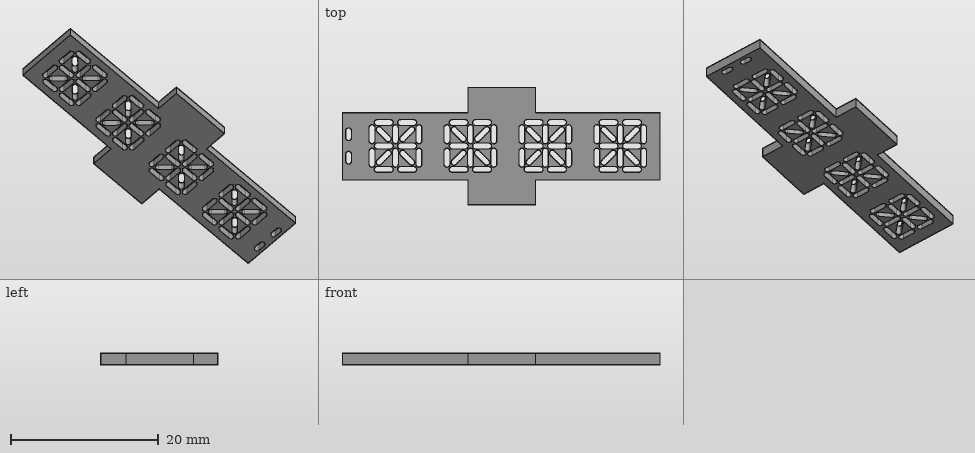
import cadquery as cq

length = 43.05
total_width = 15.93
thickness = 1.6
strip_width = 9.14
tab_length = 9.2
tab_start = 17.0
lower_tab_depth = 3.35

slot_width = 0.762
segment_length = 2.54
cell = 3.175
character_count = 4
character_pitch = 10.16
first_character_x = 7.18
diagonal_angle = 45

short_slot_length = 1.69
short_slot_offset = 2 * cell

left = -length / 2
front = -total_width / 2
strip_y = front + lower_tab_depth + strip_width / 2
row_shift = 0.05
character_y = strip_y + row_shift


def make_plate():
    """Long strip crossed by a wider central block."""
    block_x = left + tab_start + tab_length / 2
    strip = cq.Workplane("XY").box(length, strip_width, thickness).translate((0, strip_y, 0))
    block = cq.Workplane("XY").box(tab_length, total_width, thickness)
    return strip.union(block.translate((block_x, 0, 0)))


def cut_slots(body, centers, slot_length, angle):
    """Cut round-ended slots through the plate, all turned to the same angle."""
    slots = cq.Workplane("XY").pushPoints(centers).slot2D(slot_length, slot_width, angle)
    return body.cut(slots.extrude(thickness, both=True))


def cut_character(body, x, y):
    """Cut a 16-segment character: a two by two grid of cells with a diagonal in each."""
    half = cell / 2
    horizontal = [(x + i * half, y + j * cell) for i in (-1, 1) for j in (-1, 0, 1)]
    vertical = [(x + i * cell, y + j * half) for i in (-1, 0, 1) for j in (-1, 1)]
    rising = [(x - half, y - half), (x + half, y + half)]
    falling = [(x - half, y + half), (x + half, y - half)]
    body = cut_slots(body, horizontal, segment_length, 0)
    body = cut_slots(body, vertical, segment_length, 90)
    body = cut_slots(body, rising, segment_length, diagonal_angle)
    return cut_slots(body, falling, segment_length, -diagonal_angle)


def cut_short_slots(body):
    """Cut two short slots level with the two cell rows of the characters."""
    x = left + first_character_x - short_slot_offset
    centers = [(x, character_y + side * cell / 2) for side in (-1, 1)]
    return cut_slots(body, centers, short_slot_length, 90)


result = make_plate()
for index in range(character_count):
    result = cut_character(result, left + first_character_x + index * character_pitch, character_y)
result = cut_short_slots(result)